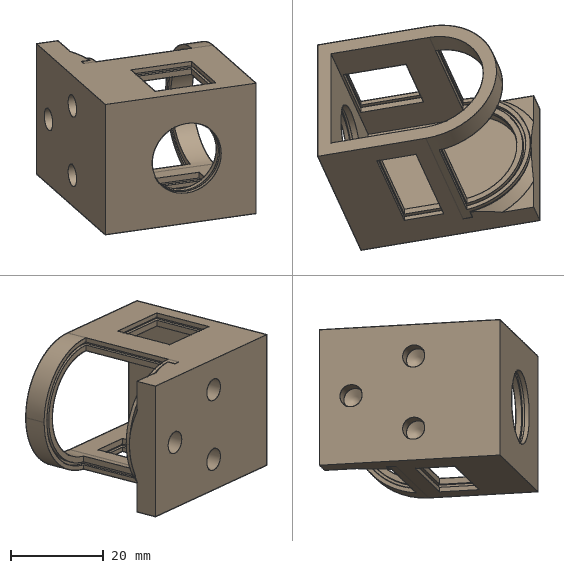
import cadquery as cq

length = 40.0
depth = 35.0
height = 30.05
outer_radius = height / 2

wall = 3.0
upper_arc_x = 15.0
lower_arc_x = 15.8
plate_thickness = 5.0
flare = 2.0
flare_end_x = 13.7

upper_opening_end_x = upper_arc_x
lower_opening_end_x = 14.15
opening_front_y = 7.9
opening_back_y = 30.0

groove_inset = 1.0
groove_width = 0.7
groove_depth = 0.8

upper_window_x = (22.45, 36.45)
upper_window_y = (13.0, 27.0)
lower_window_x = (19.35, 28.1)
lower_window_y = (opening_front_y, opening_back_y)

port_diameter = 16.0
port_y = 18.9

hole_diameter = 4.9
hole_straight_depth = 3.6
hole_tip_depth = 1.2
hole_positions = [(7.0, 0), (20.9, 8), (20.9, -8)]


def block(x_start, x_end, y_start, y_end, z_start, z_end):
    """Box given by its limits along each axis."""
    size = (x_end - x_start, y_end - y_start, z_end - z_start)
    return cq.Workplane("XY").box(*size, centered=False).translate((x_start, y_start, z_start))


def round_ended_body(inset, y_start, y_end):
    """D-shaped prism along Y; its rounded end is an upper and a lower quarter ellipse."""
    radius = outer_radius - inset
    return (
        cq.Workplane("XZ", origin=(0, y_start, 0))
        .moveTo(upper_arc_x, radius)
        .lineTo(length - inset, radius)
        .lineTo(length - inset, -radius)
        .lineTo(lower_arc_x, -radius)
        .ellipseArc(lower_arc_x - inset, radius, 180, 270, sense=-1, startAtCurrent=True)
        .ellipseArc(upper_arc_x - inset, radius, 90, 180, sense=-1, startAtCurrent=True)
        .close()
        .extrude(y_start - y_end)
    )


def disc(x, y, z, radius, thickness):
    """Cylinder growing from a point toward +Y."""
    return cq.Workplane("XZ", origin=(x, y, z)).circle(radius).extrude(-thickness)


def make_plate():
    plate = block(0, length, 0, plate_thickness, -outer_radius, outer_radius)
    cone = cq.Workplane(
        cq.Solid.makeCone(
            outer_radius + flare, outer_radius, flare,
            pnt=cq.Vector(outer_radius, plate_thickness, 0), dir=cq.Vector(0, 1, 0),
        )
    )
    bore = disc(outer_radius, plate_thickness, 0, outer_radius - wall, flare)
    limits = block(
        0, flare_end_x, plate_thickness, plate_thickness + flare, -outer_radius, outer_radius
    )
    return plate.union(cone.cut(bore).intersect(limits))


def make_shell():
    outside = round_ended_body(0, plate_thickness, depth)
    return outside.cut(round_ended_body(wall, plate_thickness, depth))


def groove_layer():
    """Thin layer within the wall in which the panel grooves lie."""
    outer_face = round_ended_body(groove_inset, plate_thickness, depth)
    return outer_face.cut(round_ended_body(groove_inset + groove_width, plate_thickness, depth))


def cut_opening(body, end_x, side):
    """Cut the upper (side = 1) or lower (side = -1) half of the grooved opening."""
    z_limits = sorted((0, side * outer_radius))
    opening = block(0, end_x, opening_front_y, opening_back_y, *z_limits)
    groove_limits = block(
        0, end_x + groove_depth,
        opening_front_y - groove_depth, opening_back_y + groove_depth, *z_limits,
    )
    return body.cut(opening).cut(groove_layer().intersect(groove_limits))


def cut_window(body, x_limits, y_limits, side):
    """Cut a grooved window in the upper (side = 1) or lower (side = -1) wall."""
    z_limits = sorted((0, side * outer_radius))
    window = block(*x_limits, *y_limits, *z_limits)
    groove_limits = block(
        x_limits[0] - groove_depth, x_limits[1] + groove_depth,
        y_limits[0] - groove_depth, y_limits[1] + groove_depth, *z_limits,
    )
    return body.cut(window).cut(groove_layer().intersect(groove_limits))


def cut_port(body):
    center = cq.Workplane("YZ", origin=(length - wall, port_y, 0))
    port = center.circle(port_diameter / 2).extrude(wall)
    groove = (
        center.workplane(offset=wall - groove_inset - groove_width)
        .circle(port_diameter / 2 + groove_depth)
        .extrude(groove_width)
    )
    return body.cut(port).cut(groove)


def cut_mounting_holes(body):
    radius = hole_diameter / 2
    for x, z in hole_positions:
        tip = cq.Solid.makeCone(
            radius, 0, hole_tip_depth,
            pnt=cq.Vector(x, hole_straight_depth, z), dir=cq.Vector(0, 1, 0),
        )
        body = body.cut(disc(x, 0, z, radius, hole_straight_depth)).cut(cq.Workplane(tip))
    return body


result = make_shell().union(make_plate())
result = cut_opening(result, upper_opening_end_x, 1)
result = cut_opening(result, lower_opening_end_x, -1)
result = cut_window(result, upper_window_x, upper_window_y, 1)
result = cut_window(result, lower_window_x, lower_window_y, -1)
result = cut_port(result)
result = cut_mounting_holes(result)